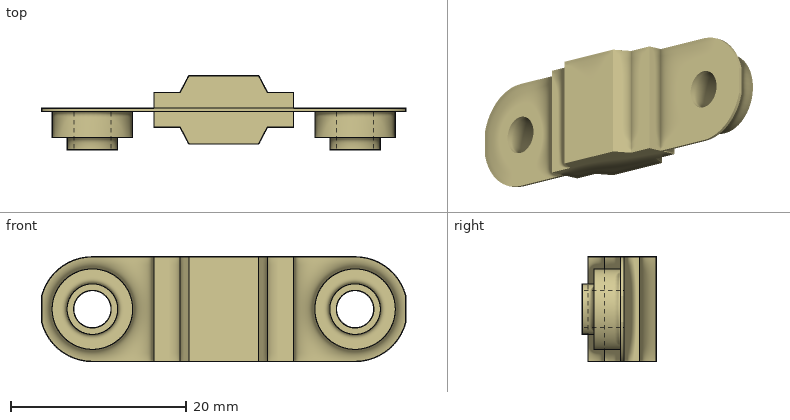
import cadquery as cq

strip_length = 41.6
strip_height = 12.0
strip_thickness = 0.4
end_radius = strip_height / 2
strip_front = -strip_thickness / 2

bushing_spacing = 30.0
flange_diameter = 9.2
flange_length = 3.0
neck_diameter = 5.8
neck_length = 1.37
bore_diameter = 4.25
bushing_places = [-bushing_spacing / 2, bushing_spacing / 2]

wing_half_width = 8.0
shoulder_half_width = 5.0
crown_half_width = 4.0
wing_depth = 2.0
crown_depth = 3.9


def make_strip():
    """Plate with round ends, trimmed flat at the tips, and a hole behind each bushing."""
    plate = cq.Workplane("XZ").box(bushing_spacing, strip_height, strip_thickness)
    ends = (
        cq.Workplane("XZ", origin=(0, strip_thickness / 2, 0))
        .pushPoints([(x, 0) for x in bushing_places])
        .circle(end_radius)
        .extrude(strip_thickness)
    )
    trim = cq.Workplane("XZ").box(strip_length, strip_height, strip_thickness)
    holes = (
        cq.Workplane("XZ", origin=(0, strip_thickness / 2, 0))
        .pushPoints([(x, 0) for x in bushing_places])
        .circle(bore_diameter / 2)
        .extrude(strip_thickness)
    )
    return plate.union(ends).intersect(trim).cut(holes)


def make_bushing(x):
    """Wide flange against the strip, narrower neck in front, bored right through."""
    return (
        cq.Workplane("XZ", origin=(x, strip_front, 0))
        .circle(flange_diameter / 2)
        .extrude(flange_length)
        .faces("<Y")
        .workplane()
        .circle(neck_diameter / 2)
        .extrude(neck_length)
        .faces("<Y")
        .workplane()
        .circle(bore_diameter / 2)
        .cutThruAll()
    )


def make_clamp_half(side):
    """Winged block with a tapered crown; side is -1 for the front and +1 for the back."""
    inner_y = side * strip_thickness / 2
    wing_y = side * wing_depth
    crown_y = side * crown_depth
    outline = [
        (-wing_half_width, inner_y),
        (-wing_half_width, wing_y),
        (-shoulder_half_width, wing_y),
        (-crown_half_width, crown_y),
        (crown_half_width, crown_y),
        (shoulder_half_width, wing_y),
        (wing_half_width, wing_y),
        (wing_half_width, inner_y),
    ]
    return (
        cq.Workplane("XY", origin=(0, 0, -strip_height / 2))
        .polyline(outline)
        .close()
        .extrude(strip_height)
    )


strip = make_strip()
bushings = [make_bushing(x) for x in bushing_places]
clamp_halves = [make_clamp_half(side) for side in (-1, 1)]

result = cq.Compound.makeCompound(
    [strip.val()]
    + [bushing.val() for bushing in bushings]
    + [half.val() for half in clamp_halves]
)